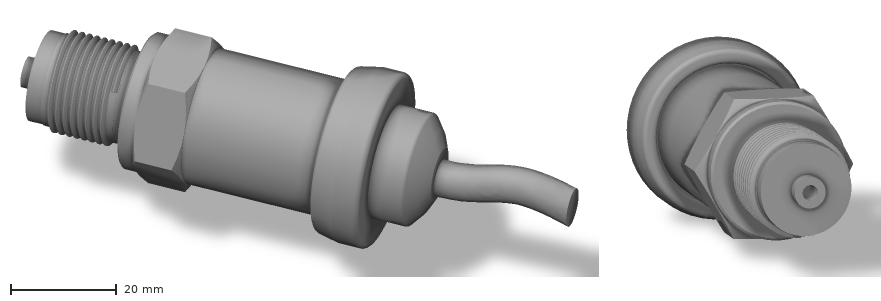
import cadquery as cq
import math

LENGTH = 109.7

PILOT_START = 3.1
THREAD_START = 6.1
THREAD_END = 20.6
COLLAR_START = 22.9
HEX_START = 26.1
HEX_END = 35.9
CAP_START = 62.5
CAP_TAPER_END = 67.4
CAP_END = 72.5
DOME_START = 79.2
DOME_END = 83.1

NIPPLE_DIAMETER = 6.0
PORT_HOLE_DIAMETER = 3.0
PILOT_DIAMETER = 17.8
THREAD_DIAMETER = 20.0
THREAD_ROOT_DIAMETER = 18.1
THREAD_PITCH = 1.5
THREAD_BASE_WIDTH = 1.3
THREAD_CREST_WIDTH = 0.1
THREAD_INSET = 0.8
THREAD_EMBED = 0.05
NECK_DIAMETER = 18.0
NECK_FILLET = 1.0

COLLAR_DIAMETER = 26.8
COLLAR_CHAMFER = 0.4
HEX_ACROSS_FLATS = 27.0
HEX_CHAMFER_ANGLE = 30.0
BARREL_DIAMETER = 26.5

CAP_DIAMETER = 34.5
CAP_FRONT_DIAMETER = 32.5
CAP_FILLET = 1.0
RECESS_DIAMETER = 27.2
RECESS_DEPTH = 1.1
RECESS_FILLET = 0.7
OUTLET_DIAMETER = 22.3
DOME_RADIUS = 15.4
DOME_END_DIAMETER = 10.5
DOME_EDGE_FILLET = 0.7

CABLE_DIAMETER = 7.2
CABLE_POINTS = [(DOME_END, -0.9), (86.0, -0.8), (90.4, 0.1), (99.7, 2.4), (109.7, 0.0), (111.9, -0.9)]
CABLE_OVERRUN_TANGENT = (2.0, -0.8)


def cylinder(start, end, diameter):
    """Solid cylinder on the X axis between two stations."""
    return cq.Workplane("YZ", origin=(start, 0, 0)).circle(diameter / 2).extrude(end - start)


def revolve_profile(profile):
    """Turn a closed outline in the XY plane around the X axis."""
    return profile.close().revolve(360, (0, 0, 0), (1, 0, 0))


def make_threaded_shank():
    """Root cylinder with a helical V ridge that stops short of both ends."""
    root_radius = THREAD_ROOT_DIAMETER / 2
    base_radius = root_radius - THREAD_EMBED
    crest_radius = THREAD_DIAMETER / 2
    ridge_section = [
        (base_radius, -THREAD_BASE_WIDTH / 2),
        (crest_radius, -THREAD_CREST_WIDTH / 2),
        (crest_radius, THREAD_CREST_WIDTH / 2),
        (base_radius, THREAD_BASE_WIDTH / 2),
    ]
    helix_length = THREAD_END - THREAD_START - 2 * THREAD_INSET
    helix = cq.Wire.makeHelix(THREAD_PITCH, helix_length, root_radius)
    ridge = cq.Workplane("XZ").polyline(ridge_section).close().sweep(cq.Workplane(helix), isFrenet=True)
    ridge = ridge.rotate((0, 0, 0), (0, 1, 0), 90).translate((THREAD_START + THREAD_INSET, 0, 0))
    return cylinder(THREAD_START, THREAD_END, THREAD_ROOT_DIAMETER).union(ridge)


def make_neck():
    """Plain neck behind the thread, flaring out to the collar."""
    neck = cylinder(THREAD_END, COLLAR_START, NECK_DIAMETER)
    neck_radius = NECK_DIAMETER / 2
    flare = revolve_profile(
        cq.Workplane("XY")
        .moveTo(COLLAR_START - NECK_FILLET, 0)
        .lineTo(COLLAR_START - NECK_FILLET, neck_radius)
        .radiusArc((COLLAR_START, neck_radius + NECK_FILLET), -NECK_FILLET)
        .lineTo(COLLAR_START, 0)
    )
    return neck.union(flare)


def make_hexagon():
    """Wrench hexagon with both ends turned down to a cone."""
    across_corners = HEX_ACROSS_FLATS / math.cos(math.pi / 6)
    width = HEX_END - HEX_START
    chamfer_depth = (across_corners - HEX_ACROSS_FLATS) / 2
    chamfer_length = chamfer_depth * math.tan(math.radians(HEX_CHAMFER_ANGLE))
    prism = cq.Workplane("YZ", origin=(HEX_START, 0, 0)).polygon(6, across_corners).extrude(width)
    envelope = revolve_profile(
        cq.Workplane("XY")
        .moveTo(HEX_START, 0)
        .lineTo(HEX_START, HEX_ACROSS_FLATS / 2)
        .lineTo(HEX_START + chamfer_length, across_corners / 2)
        .lineTo(HEX_END - chamfer_length, across_corners / 2)
        .lineTo(HEX_END, HEX_ACROSS_FLATS / 2)
        .lineTo(HEX_END, 0)
    )
    return prism.intersect(envelope)


def make_cap():
    """End cap with a tapered front, rounded rims and a recess that leaves a gap around the barrel."""
    cap = revolve_profile(
        cq.Workplane("XY")
        .moveTo(CAP_START, 0)
        .lineTo(CAP_START, CAP_FRONT_DIAMETER / 2)
        .lineTo(CAP_TAPER_END, CAP_DIAMETER / 2)
        .lineTo(CAP_END, CAP_DIAMETER / 2)
        .lineTo(CAP_END, 0)
    )
    cap = cap.faces("<X or >X").edges().fillet(CAP_FILLET)
    cap = cap.cut(cylinder(CAP_START, CAP_START + RECESS_DEPTH, RECESS_DIAMETER))
    return cap.faces("<X").edges("%CIRCLE").edges(cq.selectors.RadiusNthSelector(0)).fillet(RECESS_FILLET)


def make_cable_outlet():
    """Round boss behind the cap, closed by a truncated spherical dome."""
    end_radius = DOME_END_DIAMETER / 2
    outlet = revolve_profile(
        cq.Workplane("XY")
        .moveTo(CAP_END, 0)
        .lineTo(CAP_END, OUTLET_DIAMETER / 2)
        .lineTo(DOME_START, OUTLET_DIAMETER / 2)
        .radiusArc((DOME_END, end_radius), DOME_RADIUS)
        .lineTo(DOME_END, 0)
    )
    rim = cq.selectors.BoxSelector(
        (DOME_START - 0.1, -CAP_DIAMETER, -CAP_DIAMETER),
        (DOME_START + 0.1, CAP_DIAMETER, CAP_DIAMETER),
        boundingbox=True,
    )
    return outlet.edges(rim).fillet(DOME_EDGE_FILLET)


def make_housing():
    """Everything but the cable, as one solid."""
    collar = cylinder(COLLAR_START, HEX_START, COLLAR_DIAMETER).faces("<X").edges().chamfer(COLLAR_CHAMFER)
    housing = (
        cylinder(0, PILOT_START, NIPPLE_DIAMETER)
        .union(cylinder(PILOT_START, THREAD_START, PILOT_DIAMETER))
        .union(make_threaded_shank())
        .union(make_neck())
        .union(collar)
        .union(make_hexagon())
        .union(make_cap())
        .union(cylinder(HEX_END, CAP_START + RECESS_DEPTH, BARREL_DIAMETER))
        .union(make_cable_outlet())
    )
    return housing.cut(cylinder(0, THREAD_START, PORT_HOLE_DIAMETER))


def make_cable():
    """Round cable along a wavy centreline, starting on the dome and cut square to X at its end."""
    path = cq.Workplane("XZ").spline(CABLE_POINTS, tangents=[(1, 0), CABLE_OVERRUN_TANGENT])
    start_x, start_z = CABLE_POINTS[0]
    swept = cq.Workplane("YZ", origin=(start_x, 0, start_z)).circle(CABLE_DIAMETER / 2).sweep(path)
    return swept.intersect(cylinder(DOME_END, LENGTH, CAP_DIAMETER))


housing = make_housing()
cable = make_cable()

result = cq.Compound.makeCompound([housing.val(), cable.val()])